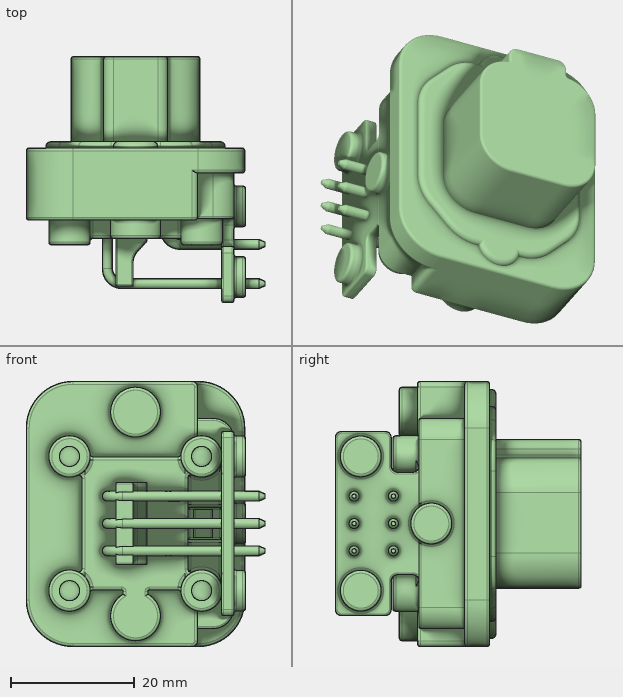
import cadquery as cq

tolerance = 0.05
margin = 0.43

flange_width = 35.25
flange_height = 42.8
flange_depth = 11.65
flange_corner = 7.55
flange_round = 0.45
step_x = 10.0
step_y = 7.6
step_edge_round = 0.9

mid_z = -1.55

block_right = 15.9
block_height = 33.9
block_corner = 3.4
block_front = 0.25
block_round = 0.3

gasket_depth = 1.03
gasket_width = 28.95
gasket_height = 34.75
gasket_cut = 7.45
gasket_corner = 7.3
gasket_lobe_radius = 3.7
gasket_round = 0.8

plug_width = 20.8
plug_bottom = -12.0
plug_shoulder = 9.1
plug_corner = 5.65
plug_end_y = 26.4
key_width = 10.27
key_top = 12.03
key_corner = 1.55
key_root_round = 0.45
plug_round = 0.43

plate_left = -8.65
plate_right = 8.47
plate_height = 21.5
plate_depth = 2.95
disc_radius = 4.02
disc_z = 16.45
neck_width = 4.02
neck_round = 0.2
plate_round = 0.45

stud_radius = 3.35
stud_x = 10.65
stud_pitch_z = 21.65
stud_depth = 4.0
stud_round = 0.45
stud_root_round = 0.5
dimple_radius = 1.63
dimple_depth = 0.5

slot_height = 5.15
slot_depth = 2.55
slot_round = 0.5
slot_floor_round = 0.35
strip_root_round = 0.45
pocket_left = 9.37
pocket_right = 12.45
pocket_floor_round = 0.3
pocket_depth = 1.7

board_thickness = 1.95
board_near_y = -4.25
board_far_y = -13.25
board_height = 29.75
board_corner = 1.03
board_round = 0.3
tongue_height = 16.5

button_radius = 3.3
button_height = 1.9
button_round = 0.45
button_root_round = 0.4
board_button_y = -9.15
block_button_y = 2.23

pin_radius = 0.8
pin_bend = 2.4
pin_pitch = 4.4
pin_end_x = 20.95
pin_tip_length = 1.03
pin_tip_radius = 0.35
outer_pin_x = -4.55
outer_pin_y = -10.25
inner_pin_x = 4.8
inner_pin_y = -3.9

support_left = -3.15
support_thickness = 2.8
support_base = 5.05
support_end_y = -10.65
support_height = 13.25
support_lip = 0.4
support_gusset = 2.5
support_round = 2.55
support_lip_round = 0.75
support_edge = 0.25

stud_levels = [mid_z - stud_pitch_z / 2, mid_z + stud_pitch_z / 2]
stud_points = [(x, z) for x in (-stud_x, stud_x) for z in stud_levels]
plate_bottom = mid_z - plate_height / 2
plate_top = mid_z + plate_height / 2
board_left = block_right - board_thickness


def front_plane(y):
    """XZ plane at the given Y; positive extrusion points to -Y."""
    return cq.Workplane("XZ", origin=(0, y, 0))


def slab(x_min, x_max, y_min, y_max, z_min, z_max):
    """Box between the given limits."""
    size = (x_max - x_min, y_max - y_min, z_max - z_min)
    return cq.Workplane("XY").box(*size, centered=False).translate((x_min, y_min, z_min))


def root_collar(radius, root_round):
    """Concave ring at the foot of a boss that stands on the XY plane."""
    return (
        cq.Workplane("XZ")
        .moveTo(radius - root_round, 0)
        .lineTo(radius + root_round, 0)
        .radiusArc((radius, root_round), root_round)
        .lineTo(radius - root_round, root_round)
        .close()
        .revolve(360, (0, 0, 0), (0, 1, 0))
    )


def flange_outline(front_y):
    """Full flange outline between the given front level and the back face."""
    outline = front_plane(front_y).rect(flange_width, flange_height).extrude(front_y - flange_depth)
    return outline.edges("|Y").fillet(flange_corner)


def make_flange():
    thick = flange_outline(0).intersect(
        slab(-flange_width, step_x, 0, flange_depth, -flange_height, flange_height)
    )
    thick = thick.edges("|Y and >X").fillet(step_edge_round)
    thin = flange_outline(step_y)
    thick = thick.faces("|Y").edges().fillet(flange_round)
    thin = thin.faces("|Y").edges().fillet(flange_round)
    return thick.union(thin)


def make_block():
    block = slab(
        0, block_right, block_front, step_y + margin, mid_z - block_height / 2, mid_z + block_height / 2
    )
    block = block.edges("|Y and >X").fillet(block_corner)
    block = block.faces("<Y").edges().fillet(block_round)
    return block.intersect(slab(plate_right, block_right, 0, flange_depth, -flange_height, flange_height))


def make_gasket():
    gasket = front_plane(flange_depth).rect(gasket_width, gasket_height).extrude(-gasket_depth)
    gasket = gasket.edges("|Y").chamfer(gasket_cut).edges("|Y").fillet(gasket_corner)
    lobes = (
        front_plane(flange_depth)
        .pushPoints([(0, -disc_z), (0, disc_z)])
        .circle(gasket_lobe_radius)
        .extrude(-gasket_depth)
    )
    return gasket.union(lobes).faces(">Y").edges().fillet(gasket_round)


def make_plug():
    start_y = flange_depth
    length = plug_end_y - start_y
    body_height = plug_shoulder - plug_bottom
    body = (
        front_plane(start_y)
        .center(0, (plug_shoulder + plug_bottom) / 2)
        .rect(plug_width, body_height)
        .extrude(-length)
        .edges("|Y")
        .fillet(plug_corner)
    )
    key = (
        front_plane(start_y)
        .center(0, key_top / 2)
        .rect(key_width, key_top)
        .extrude(-length)
        .edges("|Y and >Z")
        .fillet(key_corner)
    )
    key_roots = cq.selectors.BoxSelector(
        (-plug_corner, start_y, plug_shoulder - margin), (plug_corner, plug_end_y, plug_shoulder + margin)
    )
    plug = body.union(key).edges("|Y").edges(key_roots).fillet(key_root_round)
    return plug.faces(">Y").edges().fillet(plug_round)


def make_plate():
    """Plate with its neck and discs, and with rounded inner corners against the studs."""
    plate = slab(plate_left, plate_right, -plate_depth, 0, plate_bottom, plate_top)
    plate = plate.union(slab(-neck_width / 2, neck_width / 2, -plate_depth, 0, -disc_z, mid_z))
    neck_corners = cq.selectors.BoxSelector(
        (-neck_width, -plate_depth, plate_bottom - margin), (neck_width, 0, plate_bottom + margin)
    )
    plate = plate.edges("|Y").edges(neck_corners).fillet(neck_round)
    stud_feet = front_plane(0).pushPoints(stud_points).circle(stud_radius).extrude(plate_depth)
    plate = plate.union(stud_feet)
    for x_min, x_max in ((plate_left, -disc_radius), (disc_radius, plate_right)):
        stud_corners = cq.selectors.BoxSelector(
            (x_min - tolerance, -plate_depth, plate_bottom - tolerance),
            (x_max + tolerance, 0, plate_top + tolerance),
        )
        plate = plate.edges("|Y").edges(stud_corners).fillet(stud_root_round)
    disc_points = [(0, -disc_z), (0, disc_z)]
    plate = plate.union(front_plane(0).pushPoints(disc_points).circle(disc_radius).extrude(plate_depth))
    return plate.faces("<Y").edges().fillet(plate_round).cut(stud_feet)


def place_on_studs(shape, y):
    """Copies of a shape built on the XY plane, at every stud, standing on level y towards -Y."""
    standing = shape.rotate((0, 0, 0), (1, 0, 0), 90)
    copies = cq.Workplane("XY")
    for x, z in stud_points:
        copies = copies.union(standing.translate((x, y, z)))
    return copies


def make_studs():
    stud = cq.Workplane("XY").circle(stud_radius).extrude(stud_depth + block_front)
    stud = stud.faces(">Z").edges().fillet(stud_round)
    stud = stud.faces(">Z").workplane().circle(dimple_radius).cutBlind(-dimple_depth)
    return place_on_studs(stud, block_front)


def make_stud_roots():
    """Concave rings where the studs meet the plate and the recessed strip right of it."""
    collar = root_collar(stud_radius, stud_root_round)
    z_min, z_max = stud_levels
    over_plate = slab(
        plate_left + plate_round, plate_right - plate_round, -stud_depth, 0,
        plate_bottom + plate_round, plate_top - plate_round,
    )
    over_strip = slab(plate_right, board_left, -stud_depth, step_y, z_min, z_max)
    plate_rings = place_on_studs(collar, -plate_depth).intersect(over_plate)
    strip_rings = place_on_studs(collar, block_front).intersect(over_strip)
    return plate_rings.union(strip_rings)


def lower_strip(body):
    """Lower the strip between the right-hand studs to the level of the block."""
    z_min, z_max = stud_levels
    return body.cut(slab(plate_right, block_right, -margin, block_front, z_min, z_max))


def make_strip_roots():
    """Concave rounds where the plate side and the board side meet the strip."""
    z_min, z_max = stud_levels
    roots = cq.Workplane("XY")
    for wall_x, inward in ((plate_right, strip_root_round), (board_left, -strip_root_round)):
        edge_x = wall_x + inward
        bar = slab(
            min(wall_x, edge_x), max(wall_x, edge_x),
            block_front - strip_root_round, block_front, z_min, z_max,
        )
        hollow = (
            cq.Workplane("XY", origin=(0, 0, z_min))
            .center(edge_x, block_front - strip_root_round)
            .circle(strip_root_round)
            .extrude(z_max - z_min)
        )
        roots = roots.union(bar.cut(hollow))
    return roots


def cut_slot(body):
    """Slot across the strip, with a deeper pocket in its floor."""
    z_min = mid_z - slot_height / 2
    z_max = mid_z + slot_height / 2
    floor_y = block_front + slot_depth
    slot = slab(plate_right, board_left, block_front, floor_y, z_min, z_max)
    slot = slot.faces(">Y").edges().fillet(slot_floor_round)
    mouth_flare = slab(
        plate_right, board_left, block_front, block_front + slot_round,
        z_min - slot_round, z_max + slot_round,
    )
    lips = cq.Workplane("YZ", origin=(plate_right, 0, 0))
    lips = lips.pushPoints(
        [(block_front + slot_round, z) for z in (z_min - slot_round, z_max + slot_round)]
    )
    mouth_flare = mouth_flare.cut(lips.circle(slot_round).extrude(board_left - plate_right))
    root_clearance = slab(
        plate_right, board_left, block_front - strip_root_round, block_front,
        z_min - slot_round, z_max + slot_round,
    )
    pocket = slab(
        pocket_left, pocket_right, block_front, floor_y + pocket_depth,
        z_min + slot_floor_round, z_max - slot_floor_round,
    )
    pocket = pocket.faces(">Y").edges("|Z").fillet(pocket_floor_round)
    return body.cut(slot).cut(mouth_flare).cut(root_clearance).cut(pocket)


def make_board():
    """Panel joined to the block by a tongue with concave corners at both ends."""
    middle = cq.Workplane("YZ", origin=(board_left, 0, mid_z))
    panel = (
        middle.center((board_near_y + board_far_y) / 2, 0)
        .rect(board_near_y - board_far_y, board_height)
        .extrude(board_thickness)
        .edges("|X")
        .fillet(board_corner)
    )
    tongue = slab(
        board_left, block_right, board_far_y / 2, block_front,
        mid_z - tongue_height / 2, mid_z + tongue_height / 2,
    )
    foot = slab(
        board_left, block_right, block_front, step_y,
        mid_z - board_height / 2, mid_z + board_height / 2,
    )
    board = panel.union(tongue).union(foot)
    inner_corners = cq.selectors.BoxSelector(
        (board_left, board_near_y - margin, mid_z - tongue_height / 2 - margin),
        (block_right, block_front + margin, mid_z + tongue_height / 2 + margin),
    )
    board = board.edges("|X").edges(inner_corners).fillet(board_corner)
    panel_only = slab(board_left, block_right, board_far_y, block_front, -flange_height, flange_height)
    board = board.intersect(panel_only)
    return board.faces("<X or >X").edges("not >Y").fillet(board_round)


def make_buttons():
    button = cq.Workplane("XY").circle(button_radius).extrude(button_height)
    button = button.faces(">Z").edges().fillet(button_round)
    button = button.union(root_collar(button_radius, button_root_round))
    button = button.rotate((0, 0, 0), (0, 1, 0), 90)
    places = [(board_button_y, z) for z in stud_levels] + [(block_button_y, mid_z)]
    buttons = cq.Workplane("XY")
    for y, z in places:
        buttons = buttons.union(button.translate((block_right, y, z)))
    return buttons


def make_pins(root_x, run_y):
    """Column of pins that leave the plate at root_x, bend and run to +X at run_y."""
    path = (
        cq.Workplane("XY")
        .moveTo(root_x, 0)
        .lineTo(root_x, run_y + pin_bend)
        .radiusArc((root_x + pin_bend, run_y), -pin_bend)
        .lineTo(pin_end_x - pin_tip_length, run_y)
    )
    pin = cq.Workplane("XZ", origin=(root_x, 0, 0)).circle(pin_radius).sweep(path)
    tip = (
        pin.faces(">X")
        .workplane(centerOption="CenterOfMass")
        .circle(pin_radius)
        .workplane(offset=pin_tip_length)
        .circle(pin_tip_radius)
        .loft(combine=False)
    )
    pin = pin.union(tip)
    pins = cq.Workplane("XY")
    for row in (-1, 0, 1):
        pins = pins.union(pin.translate((0, 0, mid_z + row * pin_pitch)))
    return pins


def make_pin_support():
    front_x = support_left + support_thickness
    base_x = support_left + support_base
    lip_y = -plate_depth - support_lip
    support = (
        cq.Workplane("XY", origin=(0, 0, mid_z - support_height / 2))
        .moveTo(support_left, -plate_depth)
        .lineTo(base_x, -plate_depth)
        .lineTo(base_x, lip_y)
        .lineTo(front_x, lip_y - support_gusset)
        .lineTo(front_x, support_end_y)
        .lineTo(support_left, support_end_y)
        .close()
        .extrude(support_height)
    )
    bend = cq.selectors.NearestToPointSelector((front_x, lip_y - support_gusset, mid_z))
    support = support.edges("|Z").edges(bend).fillet(support_round)
    lip = cq.selectors.NearestToPointSelector((base_x, lip_y, mid_z))
    support = support.edges("|Z").edges(lip).fillet(support_lip_round)
    return support.faces("|Z").edges("not >Y").fillet(support_edge)


body = make_flange().union(make_block())
body = lower_strip(body).union(make_plate()).union(make_board())
body = cut_slot(body.union(make_strip_roots()))
result = (
    body.union(make_gasket())
    .union(make_plug())
    .union(make_studs())
    .union(make_stud_roots())
    .union(make_buttons())
    .union(make_pin_support())
    .union(make_pins(outer_pin_x, outer_pin_y))
    .union(make_pins(inner_pin_x, inner_pin_y))
)